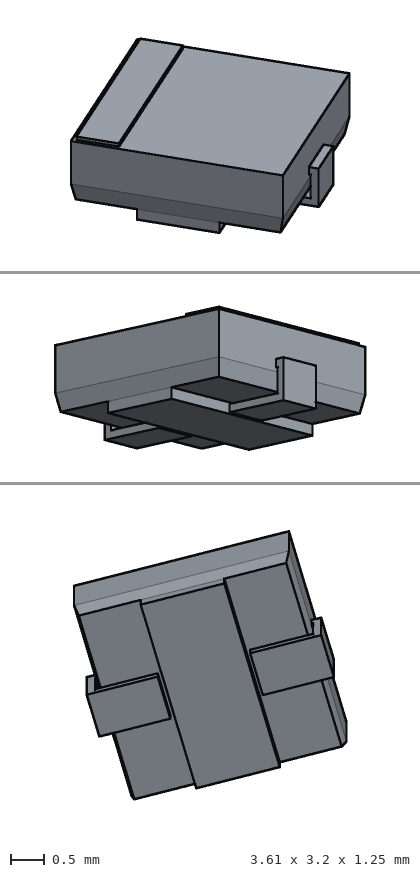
import cadquery as cq

overall_length = 3.61
overall_height = 1.25

housing_length = 3.305
housing_width = 3.2
marker_thickness = 0.055
housing_top = overall_height - marker_thickness
taper_top = 0.462
taper_bottom = 0.177
taper_inset = 0.058
foot_length = 1.285
foot_width = housing_width - 2 * taper_inset

terminal_thickness = 0.125
terminal_width = 0.705
terminal_height = 0.657
terminal_base_length = 1.095

marker_length = 0.665
marker_inset = 0.065
marker_width = housing_width - 2 * marker_inset


def make_housing():
    """Block with a tapered underside and a central foot."""
    upper = (
        cq.Workplane("XY", origin=(0, 0, taper_top))
        .rect(housing_length, housing_width)
        .extrude(housing_top - taper_top)
    )
    taper = (
        cq.Workplane("XY", origin=(0, 0, taper_bottom))
        .rect(housing_length - 2 * taper_inset, housing_width - 2 * taper_inset)
        .workplane(offset=taper_top - taper_bottom)
        .rect(housing_length, housing_width)
        .loft(ruled=True)
    )
    foot = cq.Workplane("XY").rect(foot_length, foot_width).extrude(taper_bottom)
    return upper.union(taper).union(foot)


def make_terminal(side):
    """C-shaped strip touching the housing end; side is -1 for -X or +1 for +X."""
    outer = side * overall_length / 2
    wall_inner = outer - side * terminal_thickness
    housing_end = side * housing_length / 2
    base_end = outer - side * terminal_base_length
    return (
        cq.Workplane("XZ")
        .moveTo(outer, 0)
        .lineTo(outer, terminal_height)
        .lineTo(housing_end, terminal_height)
        .lineTo(housing_end, terminal_height - terminal_thickness)
        .lineTo(wall_inner, terminal_height - terminal_thickness)
        .lineTo(wall_inner, terminal_thickness)
        .lineTo(base_end, terminal_thickness)
        .lineTo(base_end, 0)
        .close()
        .extrude(terminal_width / 2, both=True)
    )


def make_marker():
    """Thin strip lying on the housing top near its -X end."""
    center_x = -housing_length / 2 + marker_inset + marker_length / 2
    return (
        cq.Workplane("XY", origin=(center_x, 0, housing_top))
        .rect(marker_length, marker_width)
        .extrude(marker_thickness)
    )


housing = make_housing()
terminals = [make_terminal(side) for side in (-1, 1)]
marker = make_marker()

result = cq.Compound.makeCompound(
    [housing.val(), *[terminal.val() for terminal in terminals], marker.val()]
)